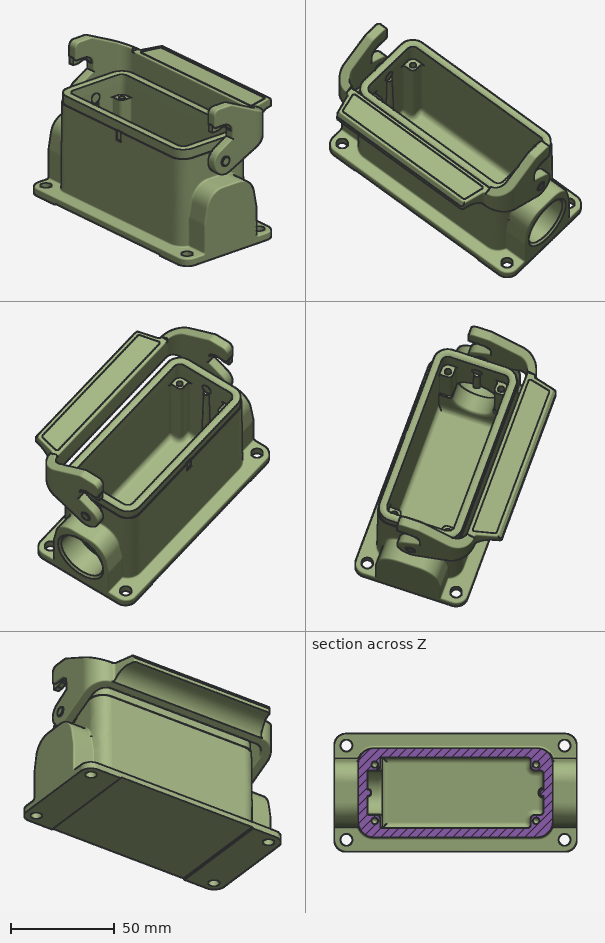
import cadquery as cq
import math

overlap = 1.2

base_length = 117.0
base_width = 57.1
base_height = 4.0
base_corner = 5.8
housing_edge_round = 0.8
foot_relief_depth = 0.6
foot_relief_length = 77.2
screw_hole_dia = 5.6
screw_hole_x = 52.5
screw_hole_y = 22.7

wall_top = 50.2
wall_length = 94.5
wall_width = 43.8
wall_corner = 7.7
wall_inset = 0.5
wall_draft = math.degrees(math.atan(wall_inset / (wall_top - base_height)))

rim_length = 92.9
rim_width = 42.1
rim_corner = 7.3
rim_thickness = 4.1
rim_top = 55.6
rim_edge_drop = 0.5
rim_inner_draft = 0.1

cavity_length = rim_length - 2 * rim_thickness
cavity_width = rim_width - 2 * rim_thickness
cavity_corner = rim_corner - rim_thickness
floor_height = 4.0
floor_round = 2.8

column_top = 44.5
column_face_x = 36.2
column_face_y = 10.6
column_corner = 2.1
column_flare = 1.5
sill_column_flare = 0.7
column_hole_x = 38.8
column_hole_y = 13.6
column_hole_dia = 3.0
column_hole_depth = 14.0
drill_point = 0.9
rib_top_radius = 1.5
rib_foot_radius = 2.5

boss_half_width = 16.6
boss_top = 36.2
boss_flat_half = 4.9
boss_round = 10.3
boss_flank_angle = 10.5
boss_knee_round = 9.4
bore_z = 19.1
bore_dia = 25.0
bore_chamfer = 1.2
bore_step_x = 44.9
bore_passage_dia = 21.0
sill_face_x = 35.2
sill_round = 1.5

notch_width = 3.5
notch_height = 5.0
notch_depth = 1.2

pivot_z = 46.9
pivot_boss_dia = 7.0
pivot_boss_chamfer = 0.5
pin_dia = 5.1
pin_end_x = 54.9
pin_chamfer = 0.5

arm_outer_x = 54.4
arm_thickness = 5.1
arm_inner_x = arm_outer_x - arm_thickness
bow_outer_y = 29.0
bow_inner_y = 25.0
bow_center_y = 19.0
bow_outer_round = bow_outer_y - bow_center_y
bow_inner_round = bow_inner_y - bow_center_y
arm_eye_radius = 7.0
arm_slope = 25.0
arm_top = 75.6
arm_slope_start_y = 3.6
arm_slope_round = 3.5
hook_tip_y = -7.0
hook_tip_round = 3.3
hook_underside = 65.9
hook_throat_y = 4.5
hook_throat_round = 4.7
hook_throat_bottom = 57.5
arm_edge_round = 0.7
hook_lip_round = 1.5

catch_width = 2.8
catch_tip_y = -7.4
catch_tip_bottom = 63.6
catch_neck_bottom = 64.7
catch_tip_length = 3.3
catch_neck_y = -1.2
catch_root_y = 1.2

grip_top = 63.9
grip_end_y = 41.4
grip_bevel_y = 39.9
grip_bevel_z = 61.7
grip_bottom = 59.4
grip_curve_y = 36.9
grip_curve_mid_y = 33.0
grip_curve_mid_z = 57.8
grip_root_z = 52.9
grip_end_half = 40.0
grip_root_half = 43.3
grip_corner = 1.2
grip_root_round = 1.3
grip_edge_round = 0.7
panel_depth = 0.2
panel_front_y = 27.0
panel_back_y = 38.4
panel_front_half = 41.5
panel_back_half = 38.8
panel_corner = 0.9


def rounded_block(length, width, corner, bottom, height, taper=0.0):
    """Upright block with rounded corners, narrowing upwards by the taper angle."""
    outline = cq.Sketch().rect(length, width).vertices().fillet(corner)
    return cq.Workplane("XY", origin=(0, 0, bottom)).placeSketch(outline).extrude(height, taper=taper)


def rod_x(diameter, start, end, z):
    """Round rod along X on the middle plane."""
    return cq.Workplane("YZ", origin=(start, 0, z)).circle(diameter / 2).extrude(end - start)


def mirror_pair(solid):
    """The solid together with its mirror image across the YZ plane."""
    return solid.union(solid.mirror("YZ"))




def make_shell():
    """Solid base, hood and cable bosses, with every outer edge and root rounded."""
    base = rounded_block(base_length, base_width, base_corner, 0, base_height)
    hood_height = wall_top - base_height
    hood = rounded_block(wall_length, wall_width, wall_corner, base_height, hood_height, wall_draft)
    shell = base.union(hood).union(mirror_pair(make_boss()))
    end_x = base_length / 2
    root_x = wall_length / 2
    above_base = shell.edges(edge_box(-end_x, end_x, base_height, boss_top))
    edges = above_base.edges(edge_box(-end_x, end_x, base_height, base_height))
    for side in (-1, 1):
        edges = edges.add(above_base.edges(edge_box(side * end_x, side * end_x, base_height, boss_top)))
        root_limits = sorted((side * (root_x - wall_inset), side * root_x))
        edges = edges.add(above_base.edges(edge_box(*root_limits, base_height, boss_top)))
    return edges.fillet(housing_edge_round)


def edge_box(start_x, end_x, start_z, end_z):
    """Selector for edges lying wholly between these limits, anywhere across the base width."""
    gap = 0.01
    return cq.selectors.BoxSelector(
        (start_x - gap, -base_width, start_z - gap), (end_x + gap, base_width, end_z + gap), boundingbox=True
    )


def foot_relief():
    """Shallow channel under the plate, leaving a foot at each end."""
    half = foot_relief_length / 2
    outline = [
        (-half - foot_relief_depth, 0),
        (half + foot_relief_depth, 0),
        (half, foot_relief_depth),
        (-half, foot_relief_depth),
    ]
    return cq.Workplane("XZ").polyline(outline).close().extrude(base_width / 2 + overlap, both=True)


def rim_path():
    """Outer foot line of the rim, starting at the middle of the -Y side."""
    half_x = rim_length / 2
    half_y = rim_width / 2
    straight_x = half_x - rim_corner
    straight_y = half_y - rim_corner
    return (
        cq.Workplane("XY", origin=(0, 0, wall_top))
        .moveTo(0, -half_y)
        .lineTo(straight_x, -half_y)
        .tangentArcPoint((half_x, -straight_y), relative=False)
        .lineTo(half_x, straight_y)
        .tangentArcPoint((straight_x, half_y), relative=False)
        .lineTo(-straight_x, half_y)
        .tangentArcPoint((-half_x, straight_y), relative=False)
        .lineTo(-half_x, -straight_y)
        .tangentArcPoint((-straight_x, -half_y), relative=False)
        .close()
    )


def make_rim():
    """Rim with a crowned top, swept around the hood."""
    outside_y = -rim_width / 2
    inside_y = outside_y + rim_thickness
    crown_inside_y = inside_y - rim_inner_draft
    crown_foot_z = rim_top - rim_edge_drop
    section = (
        cq.Workplane("YZ")
        .moveTo(outside_y, wall_top)
        .lineTo(outside_y, crown_foot_z)
        .threePointArc(((outside_y + crown_inside_y) / 2, rim_top), (crown_inside_y, crown_foot_z))
        .lineTo(inside_y, wall_top)
        .close()
    )
    return section.sweep(rim_path(), transition="round")


def make_boss():
    """Cable boss at the -X end."""
    angle = math.radians(boss_flank_angle)
    center_z = boss_top - boss_round
    arc_end_y = boss_flat_half + boss_round * math.cos(angle)
    arc_end_z = center_z + boss_round * math.sin(angle)
    arc_mid_angle = (math.radians(90) + angle) / 2
    arc_mid_y = boss_flat_half + boss_round * math.cos(arc_mid_angle)
    arc_mid_z = center_z + boss_round * math.sin(arc_mid_angle)
    flank_foot_z = arc_end_z - (boss_half_width - arc_end_y) / math.tan(angle)
    boss = (
        cq.Workplane("YZ", origin=(-base_length / 2, 0, 0))
        .moveTo(-boss_half_width, base_height / 2)
        .lineTo(-boss_half_width, flank_foot_z)
        .lineTo(-arc_end_y, arc_end_z)
        .threePointArc((-arc_mid_y, arc_mid_z), (-boss_flat_half, boss_top))
        .lineTo(boss_flat_half, boss_top)
        .threePointArc((arc_mid_y, arc_mid_z), (arc_end_y, arc_end_z))
        .lineTo(boss_half_width, flank_foot_z)
        .lineTo(boss_half_width, base_height / 2)
        .close()
        .extrude(base_length / 2 - rim_length / 2 + 2 * overlap)
    )
    for side in (-1, 1):
        knee = cq.selectors.NearestToPointSelector((-wall_length / 2, side * boss_half_width, flank_foot_z))
        boss = boss.edges("|X").edges(knee).fillet(boss_knee_round)
    return boss


def make_column(flare):
    """Screw column in the +X +Y corner, flared where it meets the walls."""
    wall_x = cavity_length / 2
    wall_y = cavity_width / 2
    return (
        cq.Workplane("XY", origin=(0, 0, floor_height - overlap))
        .moveTo(column_face_x - flare, wall_y + overlap)
        .lineTo(column_face_x - flare, wall_y)
        .radiusArc((column_face_x, wall_y - flare), flare)
        .lineTo(column_face_x, column_face_y + column_corner)
        .tangentArcPoint((column_face_x + column_corner, column_face_y), relative=False)
        .lineTo(wall_x - flare, column_face_y)
        .tangentArcPoint((wall_x, column_face_y - flare), relative=False)
        .lineTo(wall_x + overlap, column_face_y - flare)
        .lineTo(wall_x + overlap, wall_y + overlap)
        .close()
        .extrude(column_top - floor_height + overlap)
    )


def make_bore_mouth():
    """Rounded flare of the bore passage where it opens through the sill face."""
    radius = bore_passage_dia / 2
    return (
        cq.Workplane("XZ", origin=(0, 0, bore_z))
        .moveTo(-cavity_length / 2 - overlap, 0)
        .lineTo(-cavity_length / 2 - overlap, radius)
        .lineTo(-sill_face_x - sill_round, radius)
        .tangentArcPoint((-sill_face_x, radius + sill_round), relative=False)
        .lineTo(-sill_face_x, 0)
        .close()
        .revolve(360, (0, 0, 0), (1, 0, 0))
    )


def make_sill():
    """Low block at the -X end of the cavity, hollowed by the lower half of the bore passage."""
    wall_x = cavity_length / 2 + overlap
    foot_z = floor_height - overlap
    block = cq.Workplane("XY", origin=(-wall_x, 0, foot_z)).box(
        wall_x - sill_face_x, cavity_width + 2 * overlap, bore_z - foot_z, centered=(False, True, False)
    )
    return block.cut(make_bore_mouth())


def make_cavity():
    """Cavity below the rim, less everything that stands up inside it."""
    cavity = rounded_block(cavity_length, cavity_width, cavity_corner, floor_height, wall_top - floor_height)
    columns = make_column(column_flare).union(make_column(sill_column_flare).mirror("YZ"))
    columns = columns.union(columns.mirror("XZ"))
    cavity = cavity.cut(columns).cut(make_sill())
    return cavity.faces("<Z").edges().fillet(floor_round)


def make_rib():
    """Tapered half-round guide rib on the +X end wall."""
    wall_x = cavity_length / 2
    cone = cq.Solid.makeCone(
        rib_foot_radius, rib_top_radius, column_top - floor_height, pnt=cq.Vector(wall_x, 0, floor_height)
    )
    inside_wall = cq.Workplane("XY", origin=(wall_x, 0, 0)).box(
        2 * rib_foot_radius, 2 * rib_foot_radius, 2 * column_top
    )
    return inside_wall.intersect(cq.Workplane(cone))


def column_drilling(x, y):
    """Blind screw hole with a conical end."""
    radius = column_hole_dia / 2
    tip_z = column_top - column_hole_depth - drill_point
    return (
        cq.Workplane("XZ", origin=(x, y, 0))
        .moveTo(0, tip_z)
        .lineTo(radius, column_top - column_hole_depth)
        .lineTo(radius, column_top)
        .lineTo(0, column_top)
        .close()
        .revolve(360, (0, 0, 0), (0, 1, 0))
    )


def make_bore():
    """Stepped cable bore with a chamfered entry at the -X end."""
    entry = rod_x(bore_dia, -base_length / 2, -bore_step_x, bore_z)
    entry_cone = cq.Workplane(
        cq.Solid.makeCone(
            bore_dia / 2 + bore_chamfer,
            bore_dia / 2,
            bore_chamfer,
            pnt=cq.Vector(-base_length / 2, 0, bore_z),
            dir=cq.Vector(1, 0, 0),
        )
    )
    passage = rod_x(bore_passage_dia, -base_length / 2, -sill_face_x - sill_round, bore_z)
    return entry.union(entry_cone).union(passage)


def make_pivot_boss():
    """Round spacer between the -X wall and the lever arm."""
    boss = rod_x(pivot_boss_dia, -arm_inner_x, -cavity_length / 2 - overlap, pivot_z)
    return boss.faces("<X").chamfer(pivot_boss_chamfer)


def make_screw_holes():
    """Four mounting holes through the base plate."""
    return (
        cq.Workplane("XY")
        .rect(2 * screw_hole_x, 2 * screw_hole_y, forConstruction=True)
        .vertices()
        .circle(screw_hole_dia / 2)
        .extrude(base_height)
    )


def make_notch():
    """Index notch below the rim at the middle of the -Y wall."""
    return cq.Workplane("XY", origin=(0, -wall_width / 2, wall_top - notch_height)).box(
        notch_width, 2 * notch_depth, notch_height, centered=(True, True, False)
    )


def make_housing():
    """Housing with its cavity, bore, holes and pivot spacers."""
    housing = make_shell().union(make_rim()).union(mirror_pair(make_pivot_boss()))
    housing = housing.cut(make_cavity()).union(mirror_pair(make_rib()))
    housing = housing.cut(make_bore()).cut(foot_relief()).cut(make_screw_holes()).cut(make_notch())
    housing = housing.cut(rod_x(pin_dia, -arm_inner_x, arm_inner_x, pivot_z))
    for side_x in (-1, 1):
        for side_y in (-1, 1):
            housing = housing.cut(column_drilling(side_x * column_hole_x, side_y * column_hole_y))
    return housing




def slope_z(y):
    """Height of the sloped upper edge of the arms."""
    return arm_top - (y - arm_slope_start_y) * math.tan(math.radians(arm_slope))


def bow_footprint():
    """U-shaped bow seen from above: two arms joined by the back web."""
    web_half = arm_outer_x - bow_outer_round
    inner_web_half = arm_inner_x - bow_inner_round
    end_y = hook_tip_y - overlap
    return (
        cq.Workplane("XY")
        .moveTo(-arm_outer_x, end_y)
        .lineTo(-arm_outer_x, bow_center_y)
        .tangentArcPoint((-web_half, bow_outer_y), relative=False)
        .lineTo(web_half, bow_outer_y)
        .tangentArcPoint((arm_outer_x, bow_center_y), relative=False)
        .lineTo(arm_outer_x, end_y)
        .lineTo(arm_inner_x, end_y)
        .lineTo(arm_inner_x, bow_center_y)
        .tangentArcPoint((inner_web_half, bow_inner_y), relative=False)
        .lineTo(-inner_web_half, bow_inner_y)
        .tangentArcPoint((-arm_inner_x, bow_center_y), relative=False)
        .lineTo(-arm_inner_x, end_y)
        .close()
        .extrude(arm_top)
    )


def arm_profile():
    """Side outline of the arms: pivot eye, hook and sloped back."""
    slope = math.radians(arm_slope)
    eye_bottom_y = arm_eye_radius * math.sin(slope)
    eye_bottom_z = pivot_z - arm_eye_radius * math.cos(slope)
    back_y = bow_outer_y + overlap
    back_bottom_z = eye_bottom_z + (back_y - eye_bottom_y) * math.tan(slope)
    throat_distance = math.hypot(hook_throat_y, hook_throat_bottom - pivot_z)
    throat_angle = math.atan2(hook_throat_bottom - pivot_z, hook_throat_y)
    tangent_angle = throat_angle + math.acos(arm_eye_radius / throat_distance)
    eye_top_y = arm_eye_radius * math.cos(tangent_angle)
    eye_top_z = pivot_z + arm_eye_radius * math.sin(tangent_angle)
    return (
        cq.Workplane("YZ", origin=(-arm_outer_x, 0, 0))
        .moveTo(back_y, slope_z(back_y))
        .lineTo(arm_slope_start_y, arm_top)
        .lineTo(hook_tip_y + hook_tip_round, arm_top)
        .tangentArcPoint((hook_tip_y, arm_top - hook_tip_round), relative=False)
        .lineTo(hook_tip_y, hook_underside + hook_lip_round)
        .tangentArcPoint((hook_tip_y + hook_lip_round, hook_underside), relative=False)
        .lineTo(hook_throat_y - hook_throat_round, hook_underside)
        .tangentArcPoint((hook_throat_y, hook_underside - hook_throat_round), relative=False)
        .lineTo(hook_throat_y, hook_throat_bottom)
        .lineTo(eye_top_y, eye_top_z)
        .threePointArc((-arm_eye_radius, pivot_z), (eye_bottom_y, eye_bottom_z))
        .lineTo(back_y, back_bottom_z)
        .close()
        .extrude(2 * arm_outer_x)
        .edges("|X")
        .edges(cq.selectors.NearestToPointSelector((0, arm_slope_start_y, arm_top)))
        .fillet(arm_slope_round)
    )


def make_bow():
    """Both arms and the web, with the web left below the rounded top of the grip."""
    bow = bow_footprint().intersect(arm_profile())
    bow = bow.faces("|X").edges().fillet(arm_edge_round)
    web_half = arm_outer_x - bow_outer_round
    above_web = cq.Workplane("XY", origin=(0, 0, grip_top - grip_edge_round)).box(
        2 * web_half, 4 * bow_outer_y, arm_top, centered=(True, True, False)
    )
    return bow.cut(above_web)


def make_grip():
    """Finger grip along the back of the bow."""
    web_half = arm_outer_x - bow_outer_round
    section = (
        cq.Workplane("YZ", origin=(-web_half, 0, 0))
        .moveTo(bow_inner_y, grip_top)
        .lineTo(grip_bevel_y, grip_top)
        .lineTo(grip_end_y, grip_bevel_z)
        .lineTo(grip_end_y, grip_bottom)
        .lineTo(grip_curve_y, grip_bottom)
        .threePointArc((grip_curve_mid_y, grip_curve_mid_z), (bow_outer_y, grip_root_z))
        .lineTo(bow_inner_y, grip_root_z)
        .close()
        .extrude(2 * web_half)
    )
    plan = (
        cq.Workplane("XY", origin=(0, 0, pivot_z))
        .polyline(
            [
                (-web_half, bow_inner_y),
                (-web_half, bow_outer_y),
                (-grip_root_half, bow_outer_y),
                (-grip_end_half, grip_end_y),
                (grip_end_half, grip_end_y),
                (grip_root_half, bow_outer_y),
                (web_half, bow_outer_y),
                (web_half, bow_inner_y),
            ]
        )
        .close()
        .extrude(arm_top - pivot_z)
        .edges("|Z and >Y")
        .fillet(grip_corner)
    )
    for side in (-1, 1):
        root = cq.selectors.NearestToPointSelector((side * grip_root_half, bow_outer_y, pivot_z))
        plan = plan.edges("|Z").edges(root).fillet(grip_root_round)
    grip = section.intersect(plan)
    return grip.faces(">Z").edges("not |Y").fillet(grip_edge_round)


def grip_panel():
    """Shallow recess in the top of the grip."""
    return (
        cq.Workplane("XY", origin=(0, 0, grip_top - panel_depth))
        .polyline(
            [
                (-panel_front_half, panel_front_y),
                (panel_front_half, panel_front_y),
                (panel_back_half, panel_back_y),
                (-panel_back_half, panel_back_y),
            ]
        )
        .close()
        .extrude(panel_depth)
        .edges("|Z")
        .fillet(panel_corner)
    )


def make_catch():
    """Narrow catch under the hook of the -X arm."""
    center_x = (arm_outer_x + arm_inner_x) / 2
    return (
        cq.Workplane("YZ", origin=(-center_x - catch_width / 2, 0, 0))
        .moveTo(catch_tip_y, hook_underside + hook_lip_round)
        .lineTo(catch_tip_y, catch_tip_bottom)
        .lineTo(catch_tip_y + catch_tip_length, catch_tip_bottom)
        .lineTo(catch_neck_y, catch_neck_bottom)
        .lineTo(catch_root_y, catch_neck_bottom)
        .lineTo(hook_throat_y, hook_underside - hook_throat_round)
        .lineTo(hook_throat_y, hook_underside + hook_lip_round)
        .close()
        .extrude(catch_width)
    )


def make_lever():
    """Locking lever with its grip, catches and pivot pins."""
    lever = make_bow().union(make_grip()).cut(grip_panel())
    pins = rod_x(pin_dia, -pin_end_x, -cavity_length / 2, pivot_z).faces("<X").chamfer(pin_chamfer)
    return lever.union(mirror_pair(pins)).union(mirror_pair(make_catch()))


housing = make_housing()
lever = make_lever()
result = cq.Compound.makeCompound([housing.val(), lever.val()])